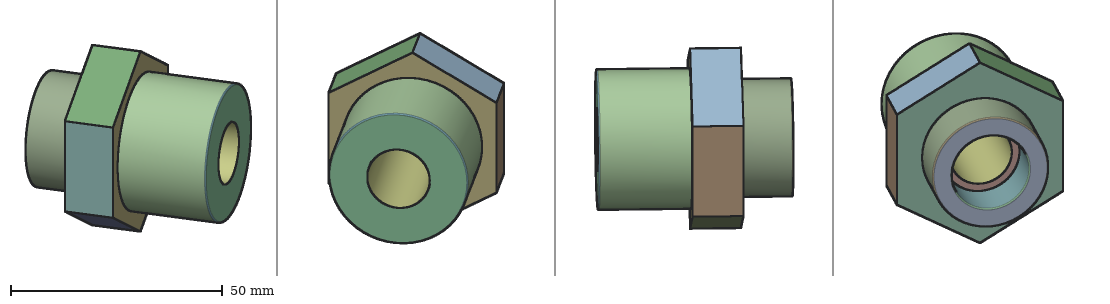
import cadquery as cq

spigot_length = 12.0
hex_length = 12.0
body_length = 22.0
total_length = spigot_length + hex_length + body_length

spigot_diameter = 27.95
body_diameter = 33.25
hex_across_corners = 46.2
hex_across_flats = 40.1
bore_diameter = 14.9
counterbore_diameter = 18.6
counterbore_depth = 11.0

edge_radius = 0.32


def cylinder_along_x(start, length, diameter):
    """Cylinder on the X axis, starting at the given X position."""
    return cq.Workplane("YZ", origin=(start, 0, 0)).circle(diameter / 2).extrude(length)


def hexagon_collar():
    """Hexagonal wrench collar with corners at +Z and -Z."""
    corner_height = hex_across_corners / 2
    flat_offset = hex_across_flats / 2
    side_corner_height = corner_height / 2
    corners = [
        (0, corner_height),
        (flat_offset, side_corner_height),
        (flat_offset, -side_corner_height),
        (0, -corner_height),
        (-flat_offset, -side_corner_height),
        (-flat_offset, side_corner_height),
    ]
    plane = cq.Workplane("YZ", origin=(spigot_length, 0, 0))
    return plane.polyline(corners).close().extrude(hex_length)


spigot = cylinder_along_x(0, spigot_length, spigot_diameter).faces("<X").edges().fillet(edge_radius)
body_start = spigot_length + hex_length
body = cylinder_along_x(body_start, body_length, body_diameter).faces(">X").edges().fillet(edge_radius)
outer = spigot.union(hexagon_collar()).union(body)

bore = cylinder_along_x(0, total_length, bore_diameter)
counterbore = cylinder_along_x(0, counterbore_depth, counterbore_diameter)
hollow = outer.cut(bore).cut(counterbore)

mouth_edge = cq.selectors.RadiusNthSelector(0)
result = hollow.faces("<X").edges(mouth_edge).fillet(edge_radius)